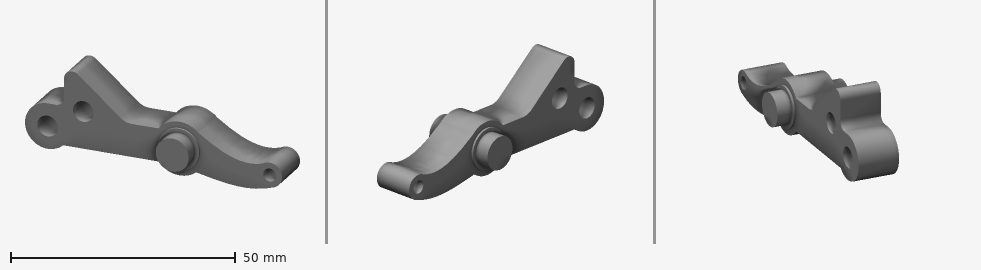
import cadquery as cq
import math

thickness = 10.0
pivot_radius = 6.5
journal_radius = 4.0
journal_length = 18.0
collar_radius = 5.0
collar_step = 0.5

heel_x = -32.0
heel_radius = 5.5
bore_radius = 2.5
second_bore_x = heel_x + 8.65
second_bore_z = 5.0

neck_half_height = 4.0

horn_left_x = heel_x + 4.0
horn_top_z = 14.2
horn_tip_radius = 2.0
horn_heel_fillet = 2.0
horn_slope = math.radians(40)
horn_neck_fillet = 4.0

tip_x = 21.9
tip_z = -2.7
tip_radius = 3.0
tip_bore_radius = 1.55

arm_top_start_x = 4.55
arm_top_middle = (10.65, 0.95)
arm_top_low = (16.9, -0.7)
arm_top_end_x = tip_x - tip_radius / 2
arm_bottom_start_x = 4.05
arm_bottom_inner = (8.15, -5.9)
arm_bottom_low = (14.6, -6.75)
arm_bottom_end_x = tip_x + tip_radius / 2


def rise(radius, offset):
    """Height of a circle above its centre at a horizontal offset."""
    return math.sqrt(radius**2 - offset**2)


def cylinder(x, z, radius, length):
    """Cylinder along Y, centred on the middle plane."""
    return cq.Workplane("XZ", origin=(x, length / 2, z)).circle(radius).extrude(length)


def make_body():
    """Neck, sloped horn and curved arm, joined to the three round ends."""
    horn_center_x = horn_left_x + horn_tip_radius
    horn_center_z = horn_top_z - horn_tip_radius
    slope_start_x = horn_center_x + horn_tip_radius * math.sin(horn_slope)
    slope_start_z = horn_center_z + horn_tip_radius * math.cos(horn_slope)
    corner_x = slope_start_x + (slope_start_z - neck_half_height) / math.tan(horn_slope)
    tangent_length = horn_neck_fillet * math.tan(horn_slope / 2)
    slope_end = (
        corner_x - tangent_length * math.cos(horn_slope),
        neck_half_height + tangent_length * math.sin(horn_slope),
    )
    horn_arc_angle = math.radians(135) - horn_slope / 2
    horn_arc_middle = (
        horn_center_x + horn_tip_radius * math.cos(horn_arc_angle),
        horn_center_z + horn_tip_radius * math.sin(horn_arc_angle),
    )

    horn_and_neck = (
        cq.Workplane("XZ", origin=(0, thickness / 2, 0))
        .moveTo(heel_x, -neck_half_height)
        .lineTo(heel_x, heel_radius)
        .lineTo(horn_left_x - horn_heel_fillet, heel_radius)
        .radiusArc((horn_left_x, heel_radius + horn_heel_fillet), -horn_heel_fillet)
        .lineTo(horn_left_x, horn_center_z)
        .threePointArc(horn_arc_middle, (slope_start_x, slope_start_z))
        .lineTo(*slope_end)
        .radiusArc((corner_x + tangent_length, neck_half_height), -horn_neck_fillet)
        .lineTo(0, neck_half_height)
        .lineTo(0, -neck_half_height)
        .close()
        .extrude(thickness)
    )

    top_start = (arm_top_start_x, rise(pivot_radius, arm_top_start_x))
    top_end = (arm_top_end_x, tip_z + rise(tip_radius, arm_top_end_x - tip_x))
    bottom_start = (arm_bottom_start_x, -rise(pivot_radius, arm_bottom_start_x))
    bottom_end = (arm_bottom_end_x, tip_z - rise(tip_radius, arm_bottom_end_x - tip_x))
    arm = (
        cq.Workplane("XZ", origin=(0, thickness / 2, 0))
        .lineTo(*top_start)
        .spline([arm_top_middle, arm_top_low, top_end], includeCurrent=True)
        .lineTo(tip_x, tip_z)
        .lineTo(*bottom_end)
        .spline([arm_bottom_low, arm_bottom_inner, bottom_start], includeCurrent=True)
        .close()
        .extrude(thickness)
    )

    body = horn_and_neck.union(arm)
    for x, z, radius in (
        (heel_x, 0, heel_radius),
        (0, 0, pivot_radius),
        (tip_x, tip_z, tip_radius),
    ):
        body = body.union(cylinder(x, z, radius, thickness))
    return body


def cut_bores(body):
    """Through holes in the heel, below the horn and in the arm tip."""
    for x, z, radius in (
        (heel_x, 0, bore_radius),
        (second_bore_x, second_bore_z, bore_radius),
        (tip_x, tip_z, tip_bore_radius),
    ):
        body = body.cut(cylinder(x, z, radius, thickness))
    return body


collar = cylinder(0, 0, collar_radius, thickness + 2 * collar_step)
journal = cylinder(0, 0, journal_radius, journal_length)
result = cut_bores(make_body()).union(collar).union(journal)